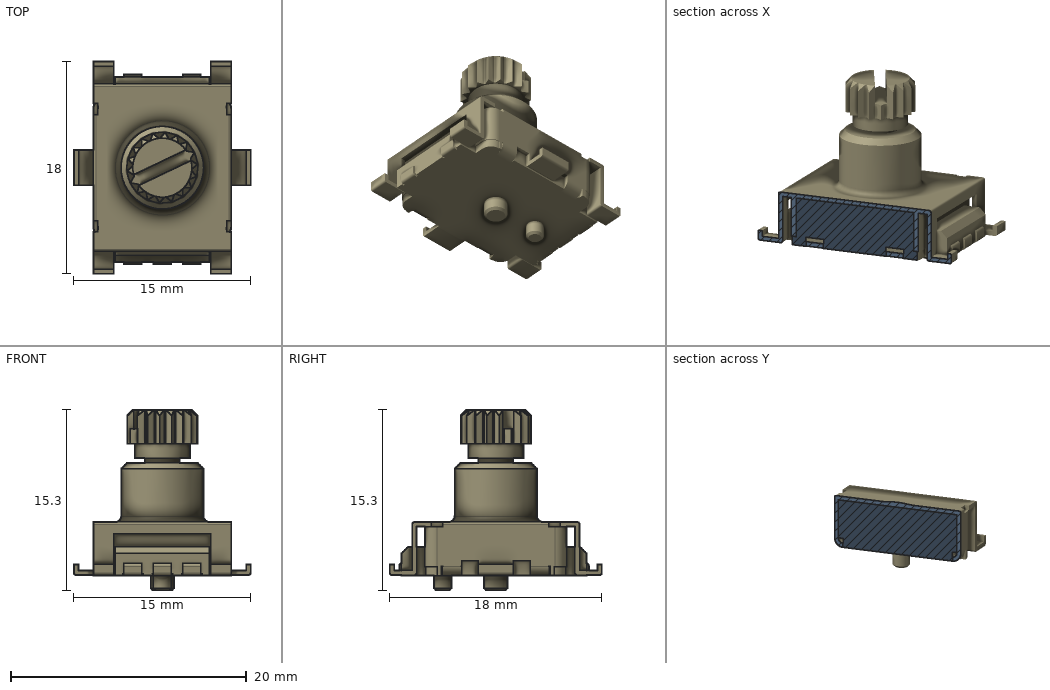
import cadquery as cq
import math

TOTAL_HEIGHT = 15.3
SHAFT_TOP = 14.0
PEG_BOTTOM = SHAFT_TOP - TOTAL_HEIGHT
BASE_BOTTOM = -0.05

SHEET = 0.4
BEND_RADIUS = 0.2
COVER_WIDTH = 11.7
COVER_LENGTH = 14.2
COVER_TOP = 4.5
COVER_UNDERSIDE = COVER_TOP - SHEET
WALL_X = COVER_WIDTH / 2
WALL_INNER_X = WALL_X - SHEET
END_Y = COVER_LENGTH / 2
SHELL_LENGTH = 12.0
SHELL_CORNER_RADIUS = 1.0
SHELL_BOTTOM = 0.7
WINDOW_WIDTH = 8.2
WINDOW_TOP = 3.5
LIP_TOP = 0.9
END_FOOT_REACH = 9.0
SIDE_FOOT_REACH = 7.5
SIDE_FOOT_WIDTH = 3.0
SIDE_WALL_HALF = SHELL_LENGTH / 2 - SHELL_CORNER_RADIUS
RELIEF_INNER_Y = 4.5
RELIEF_OUTER_Y = 5.45
WALL_NOTCH_TOP = 1.2
CRIMP_INNER_Y = 2.9
CRIMP_OUTER_Y = 4.53
CRIMP_RADIUS = 0.8
CRIMP_TOP = BASE_BOTTOM + CRIMP_RADIUS
WALL_LEG_INNER_Y = 4.63

BUSHING_DIAMETER = 7.0
BUSHING_TOP = 9.5
BUSHING_CHAMFER = 0.5
BUSHING_FILLET = 0.5

NECK_DIAMETER = 3.0
COLLAR_DIAMETER = 4.7
COLLAR_BOTTOM = 9.92
HEAD_BOTTOM = 11.13
HEAD_DIAMETER = 6.0
HEAD_CHAMFER = 0.5
TOOTH_COUNT = 18
TOOTH_DEPTH = 0.5
ROOT_HALF_ANGLE = 1.5
HEAD_TURN = 25.5
SLOT_WIDTH = 1.0
SLOT_DEPTH = 1.6

BASE_INSET = 0.05
BASE_HALF_LENGTH = SHELL_LENGTH / 2 - BASE_INSET
WALL_LEG_OUTER_Y = BASE_HALF_LENGTH - SHELL_CORNER_RADIUS
BLOCK_WIDTH = 8.0
BLOCK_TOP = 2.4
BLOCK_CHAMFER = 0.57
FRONT_BLOCK_REACH = 8.0
REAR_BLOCK_REACH = 7.7
PEG_CHAMFER = 0.2
CENTRE_PEG_DIAMETER = 2.0
FRONT_PEG_DIAMETER = 1.5
FRONT_PEG_Y = -4.5

TERMINAL_WIDTH = 1.5
TERMINAL_PITCH = 2.5
TERMINAL_PROUD = 0.2
TERMINAL_THICKNESS = 0.4
TERMINAL_TOP = 1.0
TERMINAL_ROUND = 0.25
TERMINAL_CLEARANCE = 0.12
TERMINAL_CLEARANCE_TOP = 0.12
FRONT_TERMINAL_X = (-TERMINAL_PITCH, 0, TERMINAL_PITCH)
REAR_TERMINAL_X = (-TERMINAL_PITCH, TERMINAL_PITCH)


def block(x_range, y_range, z_range):
    """Box spanning the given (low, high) ranges."""
    lows = [r[0] for r in (x_range, y_range, z_range)]
    sizes = [r[1] - r[0] for r in (x_range, y_range, z_range)]
    return cq.Workplane("XY").box(*sizes, centered=False).translate(tuple(lows))


def on_both_sides(shape, mirror_plane):
    """The shape together with its mirror image."""
    return shape.union(shape.mirror(mirror_plane))


def four_corners(shape):
    return on_both_sides(on_both_sides(shape, "YZ"), "XZ")


def bent_foot(wall_outer, reach, wall_top, width):
    """Strip running down a wall, out along +X as a foot and up into a lip, centred on Y = 0."""
    wall_inner = wall_outer - SHEET
    outline = [
        (wall_inner, wall_top),
        (wall_inner, 0),
        (reach, 0),
        (reach, LIP_TOP),
        (reach - SHEET, LIP_TOP),
        (reach - SHEET, SHEET),
        (wall_outer, SHEET),
        (wall_outer, wall_top),
    ]
    foot = cq.Workplane("XZ").polyline(outline).close().extrude(width / 2, both=True)
    return foot.faces("<Z").edges("|Y").fillet(BEND_RADIUS)


def rounded_plate(width, length, corner_radius, z_range):
    plate = block((-width / 2, width / 2), (-length / 2, length / 2), z_range)
    return plate.edges("|Z").fillet(corner_radius)


def core():
    """Block that fills the inside of the cover's shell."""
    return rounded_plate(
        COVER_WIDTH - 2 * SHEET,
        SHELL_LENGTH - 2 * SHEET,
        SHELL_CORNER_RADIUS - SHEET,
        (SHELL_BOTTOM, COVER_UNDERSIDE))


def end_channel():
    """Top sheet, the two end walls with their windows, and the four end feet."""
    channel = block((-WALL_X, WALL_X), (-END_Y, END_Y), (WINDOW_TOP, COVER_TOP))
    channel = channel.edges("|X and >Z").fillet(BEND_RADIUS)
    channel = channel.cut(block(
        (-WALL_X, WALL_X), (-END_Y + SHEET, END_Y - SHEET), (WINDOW_TOP, COVER_UNDERSIDE)))

    leg_width = (COVER_WIDTH - WINDOW_WIDTH) / 2
    leg = bent_foot(END_Y, END_FOOT_REACH, WINDOW_TOP, leg_width)
    leg = leg.rotate((0, 0, 0), (0, 0, 1), 90).translate((WALL_X - leg_width / 2, 0, 0))
    return channel.union(four_corners(leg))


def crimp_tab():
    """Tab curled inward under the base by a quarter turn."""
    centre_x = WALL_X - CRIMP_RADIUS
    inner_radius = CRIMP_RADIUS - SHEET
    diagonal = math.sqrt(0.5)
    return (
        cq.Workplane("XZ", origin=(0, CRIMP_INNER_Y, 0))
        .moveTo(WALL_X, CRIMP_TOP)
        .threePointArc(
            (centre_x + CRIMP_RADIUS * diagonal, CRIMP_TOP - CRIMP_RADIUS * diagonal),
            (centre_x, BASE_BOTTOM))
        .lineTo(centre_x, BASE_BOTTOM + SHEET)
        .threePointArc(
            (centre_x + inner_radius * diagonal, CRIMP_TOP - inner_radius * diagonal),
            (WALL_INNER_X, CRIMP_TOP))
        .close()
        .extrude(-(CRIMP_OUTER_Y - CRIMP_INNER_Y))
    )


def side_wall():
    """Side wall on +X with its top bend, foot, crimp tabs and legs."""
    wall_x = (WALL_INNER_X, WALL_X)
    bend = block(wall_x, (-RELIEF_INNER_Y, RELIEF_INNER_Y), (COVER_UNDERSIDE, COVER_TOP))
    bend = bend.edges(">X and >Z").fillet(BEND_RADIUS)
    wall = block(wall_x, (-SIDE_WALL_HALF, SIDE_WALL_HALF), (WALL_NOTCH_TOP, COVER_UNDERSIDE))
    wall = wall.union(bend)
    wall = wall.union(bent_foot(WALL_X, SIDE_FOOT_REACH, WALL_NOTCH_TOP, SIDE_FOOT_WIDTH))

    skirt = block(wall_x, (CRIMP_INNER_Y, SIDE_WALL_HALF), (CRIMP_TOP, WALL_NOTCH_TOP))
    leg_top = block(wall_x, (WALL_LEG_INNER_Y, SIDE_WALL_HALF), (SHELL_BOTTOM, CRIMP_TOP))
    leg = block(wall_x, (WALL_LEG_INNER_Y, WALL_LEG_OUTER_Y), (BASE_BOTTOM, SHELL_BOTTOM))
    lower_edge = skirt.union(leg_top).union(leg).union(crimp_tab())
    return wall.union(on_both_sides(lower_edge, "XZ"))


def shell():
    """Rounded sheet wall around the core, open on both sides where the side walls fit in."""
    outside = rounded_plate(
        COVER_WIDTH, SHELL_LENGTH, SHELL_CORNER_RADIUS, (SHELL_BOTTOM, COVER_UNDERSIDE))
    opening = block(
        (WALL_INNER_X, WALL_X), (-SIDE_WALL_HALF, SIDE_WALL_HALF), (SHELL_BOTTOM, COVER_UNDERSIDE))
    return outside.cut(core()).cut(on_both_sides(opening, "YZ"))


def bushing():
    """Chamfered bushing with a flared foot that runs out into the top sheet."""
    radius = BUSHING_DIAMETER / 2
    foot_radius = radius + BUSHING_FILLET
    fillet_offset = BUSHING_FILLET * (1 - math.sqrt(0.5))
    return (
        cq.Workplane("XZ")
        .moveTo(0, COVER_UNDERSIDE)
        .lineTo(foot_radius, COVER_UNDERSIDE)
        .lineTo(foot_radius, COVER_TOP)
        .threePointArc(
            (radius + fillet_offset, COVER_TOP + fillet_offset),
            (radius, COVER_TOP + BUSHING_FILLET))
        .lineTo(radius, BUSHING_TOP - BUSHING_CHAMFER)
        .lineTo(radius - BUSHING_CHAMFER, BUSHING_TOP)
        .lineTo(0, BUSHING_TOP)
        .close()
        .revolve(360, (0, 0, 0), (0, 1, 0))
    )


def shaft_bore():
    """Cylinder that the shaft's neck fills, from the floor of the base to the collar."""
    return (
        cq.Workplane("XY", origin=(0, 0, SHELL_BOTTOM))
        .circle(NECK_DIAMETER / 2)
        .extrude(COLLAR_BOTTOM - SHELL_BOTTOM)
    )


def make_cover():
    edge_strip = block(
        (WALL_INNER_X, WALL_X), (-RELIEF_OUTER_Y, RELIEF_OUTER_Y), (COVER_UNDERSIDE, COVER_TOP))
    cover = end_channel().cut(on_both_sides(edge_strip, "YZ"))
    cover = cover.union(shell()).union(on_both_sides(side_wall(), "YZ"))
    return cover.union(bushing()).cut(shaft_bore())


def toothed_head():
    """Serrated head with a conical top edge and a screwdriver slot across one pair of teeth."""
    tip_radius = HEAD_DIAMETER / 2
    root_radius = tip_radius - TOOTH_DEPTH
    height = SHAFT_TOP - HEAD_BOTTOM
    pitch = 360 / TOOTH_COUNT

    def polar(radius, degrees):
        angle = math.radians(degrees)
        return (radius * math.cos(angle), radius * math.sin(angle))

    outline = []
    for tooth in range(TOOTH_COUNT):
        tip_angle = tooth * pitch
        root_angle = tip_angle + pitch / 2
        outline.append(polar(tip_radius, tip_angle))
        outline.append(polar(root_radius, root_angle - ROOT_HALF_ANGLE))
        outline.append(polar(root_radius, root_angle + ROOT_HALF_ANGLE))
    teeth = cq.Workplane("XY").polyline(outline).close().extrude(height)
    envelope = cq.Workplane("XY").circle(tip_radius).extrude(height).faces(">Z").chamfer(HEAD_CHAMFER)
    slot = block(
        (-tip_radius, tip_radius), (-SLOT_WIDTH / 2, SLOT_WIDTH / 2), (height - SLOT_DEPTH, height))
    head = teeth.intersect(envelope).cut(slot)
    return head.rotate((0, 0, 0), (0, 0, 1), HEAD_TURN).translate((0, 0, HEAD_BOTTOM))


def make_shaft():
    collar = (
        cq.Workplane("XY", origin=(0, 0, COLLAR_BOTTOM))
        .circle(COLLAR_DIAMETER / 2)
        .extrude(HEAD_BOTTOM - COLLAR_BOTTOM)
    )
    return shaft_bore().union(collar).union(toothed_head())


def terminal_block(reach):
    """End block toward +Y, stepping up outside the cover's shell."""
    outline = [
        (0, BASE_BOTTOM),
        (reach, BASE_BOTTOM),
        (reach, BLOCK_TOP - BLOCK_CHAMFER),
        (reach - BLOCK_CHAMFER, BLOCK_TOP),
        (SHELL_LENGTH / 2, BLOCK_TOP),
        (SHELL_LENGTH / 2, SHELL_BOTTOM),
        (0, SHELL_BOTTOM),
    ]
    return cq.Workplane("YZ").polyline(outline).close().extrude(BLOCK_WIDTH / 2, both=True)


def peg(diameter, y):
    return (
        cq.Workplane("XY", origin=(0, y, PEG_BOTTOM))
        .circle(diameter / 2)
        .extrude(BASE_BOTTOM - PEG_BOTTOM)
        .faces("<Z")
        .chamfer(PEG_CHAMFER)
    )


def terminal(x, block_reach):
    """Upright contact set into the end face of a terminal block toward +Y."""
    face_y = block_reach + TERMINAL_PROUD
    blade = block(
        (x - TERMINAL_WIDTH / 2, x + TERMINAL_WIDTH / 2),
        (face_y - TERMINAL_THICKNESS, face_y),
        (BASE_BOTTOM, TERMINAL_TOP))
    return blade.faces(">Y").edges("|X").fillet(TERMINAL_ROUND)


def terminal_clearance(x, block_reach):
    """Shallow relief in the base around the lower end of a terminal."""
    half_width = TERMINAL_WIDTH / 2 + TERMINAL_CLEARANCE
    return block(
        (x - half_width, x + half_width),
        (block_reach + TERMINAL_PROUD - TERMINAL_THICKNESS, block_reach),
        (BASE_BOTTOM, TERMINAL_CLEARANCE_TOP))


front_terminals = [terminal(x, FRONT_BLOCK_REACH).mirror("XZ") for x in FRONT_TERMINAL_X]
rear_terminals = [terminal(x, REAR_BLOCK_REACH) for x in REAR_TERMINAL_X]
terminals = front_terminals + rear_terminals


def make_base():
    base = rounded_plate(
        COVER_WIDTH - 2 * BASE_INSET,
        2 * BASE_HALF_LENGTH,
        SHELL_CORNER_RADIUS,
        (BASE_BOTTOM, SHELL_BOTTOM))
    wall_space = block(
        (WALL_INNER_X, WALL_X), (-WALL_LEG_OUTER_Y, WALL_LEG_OUTER_Y), (BASE_BOTTOM, SHELL_BOTTOM))
    base = base.cut(on_both_sides(wall_space, "YZ"))
    base = base.union(core()).cut(shaft_bore())
    crimp_space = block(
        (WALL_X - CRIMP_RADIUS, WALL_X), (CRIMP_INNER_Y, CRIMP_OUTER_Y), (BASE_BOTTOM, CRIMP_TOP))
    base = base.cut(four_corners(crimp_space))
    base = base.union(terminal_block(FRONT_BLOCK_REACH).mirror("XZ"))
    base = base.union(terminal_block(REAR_BLOCK_REACH))
    base = base.union(peg(CENTRE_PEG_DIAMETER, 0)).union(peg(FRONT_PEG_DIAMETER, FRONT_PEG_Y))
    for x in FRONT_TERMINAL_X:
        base = base.cut(terminal_clearance(x, FRONT_BLOCK_REACH).mirror("XZ"))
    for x in REAR_TERMINAL_X:
        base = base.cut(terminal_clearance(x, REAR_BLOCK_REACH))
    for contact in terminals:
        base = base.cut(contact)
    return base


cover = make_cover()
shaft = make_shaft()
base = make_base()

result = cq.Compound.makeCompound([
    cover.solids().val(),
    shaft.solids().val(),
    base.solids().val(),
    *[contact.solids().val() for contact in terminals],
])